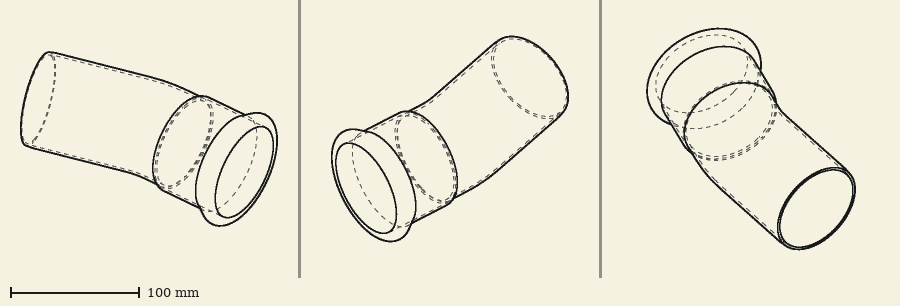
import cadquery as cq
import math

tube_radius = 76.2 / 2
bore_radius = 72.0 / 2
wall = tube_radius - bore_radius
socket_radius = 80.7 / 2
socket_bore_radius = 76.7 / 2
bead_radius = 94.5 / 2

bend_angle = 15.0
bend_radius = 92.0
leg_length = 83.0
tip_length = 5.7
tip_reduction = 0.5

socket_start = 15.7
shoulder_length = 5.0
cone_start = 58.4
bead_round = 5.5
socket_end = 75.8


def socket_outside():
    """Stepped socket with rounded shoulder, cone and rounded bead, about X."""
    shoulder_end = socket_start + shoulder_length
    rise = socket_radius - tube_radius
    shoulder_round = (shoulder_length**2 + rise**2) / (2 * rise)
    half_sweep = math.asin(shoulder_length / shoulder_round) / 2
    shoulder_mid = (
        shoulder_end - shoulder_round * math.sin(half_sweep),
        socket_radius - shoulder_round * (1 - math.cos(half_sweep)),
    )
    bead_x = socket_end - bead_round
    bead_y = bead_radius - bead_round
    run = bead_x - cone_start
    climb = bead_y - socket_radius
    slope = math.atan2(climb, run) + math.asin(bead_round / math.hypot(run, climb))
    cone_end = (bead_x - bead_round * math.sin(slope), bead_y + bead_round * math.cos(slope))
    return (
        cq.Workplane("XY")
        .lineTo(0, tube_radius)
        .lineTo(socket_start, tube_radius)
        .threePointArc(shoulder_mid, (shoulder_end, socket_radius))
        .lineTo(cone_start, socket_radius)
        .lineTo(*cone_end)
        .threePointArc((bead_x, bead_radius), (bead_x + bead_round, bead_y))
        .lineTo(socket_end, 0)
        .close()
        .revolve(360, (0, 0, 0), (1, 0, 0))
    )


def socket_bore():
    """Tube bore opening into the wider socket bore one wall past the shoulder."""
    seat = socket_start + wall
    return (
        cq.Workplane("YZ").circle(bore_radius).extrude(seat)
        .faces(">X").workplane().circle(socket_bore_radius).extrude(socket_end - seat)
    )


def bend():
    """Hollow elbow turning from -X toward -Y."""
    return (
        cq.Workplane("YZ")
        .circle(tube_radius)
        .circle(bore_radius)
        .revolve(bend_angle, (-bend_radius, 0, 0), (-bend_radius, 1, 0))
    )


def leg():
    """Straight tube leg whose open end tapers slightly inward."""
    tip_start = leg_length - tip_length
    profile = [
        (0, bore_radius),
        (0, tube_radius),
        (-tip_start, tube_radius),
        (-leg_length, tube_radius - tip_reduction),
        (-leg_length, bore_radius - tip_reduction),
        (-tip_start, bore_radius),
    ]
    straight = cq.Workplane("XY").polyline(profile).close().revolve(360, (0, 0, 0), (1, 0, 0))
    angle = math.radians(bend_angle)
    bend_end = (-bend_radius * math.sin(angle), -bend_radius * (1 - math.cos(angle)), 0)
    return straight.rotate((0, 0, 0), (0, 0, 1), bend_angle).translate(bend_end)


result = socket_outside().cut(socket_bore()).union(bend()).union(leg())